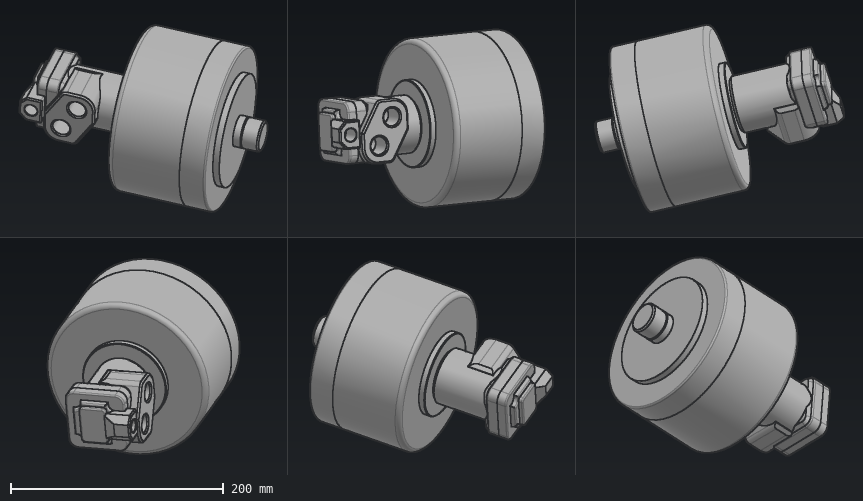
import cadquery as cq
import math


drum_diameter = 160.0
drum_radius = drum_diameter / 2
drum_length = 96.2
cover_joint_x = 71.2
drum_front_fillet = 5.0
drum_rear_fillet = 1.5
pilot_radius = 55.0
pilot_length = 6.5

rod_radius = 15.0
rod_length = 25.2
rod_groove_start = 7.3
rod_groove_width = 1.1
rod_groove_depth = 0.5
rod_end_chamfer = 1.5

collar_radius = 41.5
collar_length = 6.2
collar_chamfer = 0.7

distributor_tilt = -5.0
cap_joint_x = -77.6
block_half = 29.3
block_corner = 8.7
block_edge_fillet = 1.4

neck_radius = 27.5
neck_chamfer = 2.5
block_rear_x = -66.0
tail_length = 4.1
tail_inset = 2.5

port_face_y = -38.2
pad_center_x = -52.0
pad_half_width = 25.0
pad_half_height = 30.0
pad_big_radius = 15.0
pad_small_radius = 6.5
pad_slope_angle = 59.0
pad_back_y = 4.1
pad_back_chamfer_height = 2.3
pad_back_chamfer_length = 5.0
pad_edge_chamfer = 1.8
port_radius = 8.5
port_mouth_radius = 9.8
port_depth = 23.0
port_offset = 14.9
port_line_angle = 60.0

cap_face_x = -87.0
cross_face_x = -91.8
plate_face_x = -96.0
nose_face_x = -101.2
cross_half_width = 13.7
cross_half_depth = 21.5
cross_half_height = 21.8
cross_corner_fillet = 5.7
cross_edge_fillet = 1.5
cross_draft_inset = 1.1
plate_half_width = 13.3
plate_half_height = 18.0
plate_corner = 3.7
plate_edge_fillet = 1.4
nose_rear_x = -79.0
nose_half_width = 13.3
nose_half_flat = 6.5
nose_ramp_length = 10.8
nose_edge_chamfer = 1.4
nose_rear_fillet = 1.5
drain_x = -89.5
drain_radius = 6.2
drain_mouth_radius = 6.6
drain_depth = 20.5
drill_point_angle = 118.0


def disc(radius, start_x, end_x):
    """Solid cylinder on the X axis from start_x to end_x."""
    return cq.Workplane("YZ", origin=(start_x, 0, 0)).circle(radius).extrude(end_x - start_x)


def square_slab(start_x, end_x):
    """Slab with the rounded-square section shared by housing and end cap."""
    slab = cq.Workplane("YZ", origin=(start_x, 0, 0)).rect(2 * block_half, 2 * block_half)
    return slab.extrude(end_x - start_x).edges("|X").fillet(block_corner)


def drilled_port(x, z, radius, mouth_radius, depth):
    """Cutter for a blind hole drilled in +Y: chamfered mouth and conical bottom."""
    mouth_depth = mouth_radius - radius
    tip_depth = depth + radius / math.tan(math.radians(drill_point_angle / 2))
    half_section = (
        cq.Workplane("XY", origin=(x, port_face_y, z))
        .polyline([(0, 0), (mouth_radius, 0), (radius, mouth_depth), (radius, depth), (0, tip_depth)])
        .close()
    )
    return half_section.revolve(360, (0, 0, 0), (0, 1, 0))


def tilted(body):
    """Turn a distributor body about the machine axis."""
    return body.rotate((0, 0, 0), (1, 0, 0), distributor_tilt)


def make_drum():
    return disc(drum_radius, 0, cover_joint_x).faces("<X").edges().fillet(drum_front_fillet)


def make_rear_cover():
    cover = disc(drum_radius, cover_joint_x, drum_length).faces(">X").edges().fillet(drum_rear_fillet)
    return cover.union(disc(pilot_radius, drum_length, drum_length + pilot_length))


def make_piston_rod():
    start_x = drum_length + pilot_length
    rod = disc(rod_radius, start_x, start_x + rod_length).faces(">X").edges().chamfer(rod_end_chamfer)
    groove_x = start_x + rod_groove_start
    groove_end_x = groove_x + rod_groove_width
    groove = disc(rod_radius, groove_x, groove_end_x).cut(
        disc(rod_radius - rod_groove_depth, groove_x, groove_end_x)
    )
    return rod.cut(groove)


def make_collar():
    return disc(collar_radius, -collar_length, 0).faces("<X").edges().chamfer(collar_chamfer)


def make_housing_tail():
    """Tapered run-out from the square block down to the round neck."""
    taper = math.degrees(math.atan2(tail_inset, tail_length))
    tail = cq.Workplane("YZ", origin=(block_rear_x, 0, 0)).sketch()
    tail_half = block_half - block_edge_fillet
    tail = tail.rect(2 * tail_half, 2 * tail_half).vertices()
    tail = tail.fillet(block_corner - block_edge_fillet).finalize()
    return tail.extrude(tail_length, taper=taper)


def make_port_pad():
    """Port pad: a point-symmetric outline with two sloping flanks, bevelled at its back edge."""
    slope_run = pad_half_height / math.tan(math.radians(pad_slope_angle))
    flank_top_x = slope_run - pad_half_width
    outline = [
        (-pad_half_width, 0),
        (flank_top_x, pad_half_height),
        (pad_half_width, pad_half_height),
        (pad_half_width, 0),
        (-flank_top_x, -pad_half_height),
        (-pad_half_width, -pad_half_height),
    ]
    pad = (
        cq.Workplane("XZ", origin=(pad_center_x, pad_back_y, 0))
        .polyline(outline)
        .close()
        .extrude(pad_back_y - port_face_y)
    )
    pad_center = cq.Vector(pad_center_x, (port_face_y + pad_back_y) / 2, 0)
    for side in (1, -1):
        round_corner = pad_center + cq.Vector(side * pad_half_width, 0, side * pad_half_height)
        flank_corner = pad_center + cq.Vector(side * flank_top_x, 0, side * pad_half_height)
        pad = pad.edges(cq.NearestToPointSelector(round_corner.toTuple())).fillet(pad_big_radius)
        pad = pad.edges(cq.NearestToPointSelector(flank_corner.toTuple())).fillet(pad_small_radius)
    pad = pad.faces("<Y").edges().chamfer(pad_edge_chamfer)

    for side in (1, -1):
        wedge = (
            cq.Workplane("YZ", origin=(pad_center_x - pad_half_width, 0, 0))
            .moveTo(pad_back_y, side * pad_half_height)
            .lineTo(pad_back_y, side * (pad_half_height - pad_back_chamfer_height))
            .lineTo(pad_back_y - pad_back_chamfer_length, side * pad_half_height)
            .close()
            .extrude(2 * pad_half_width)
        )
        pad = pad.cut(wedge)
    return pad


def make_housing():
    neck = disc(neck_radius, cap_joint_x, -collar_length).faces(">X").edges().chamfer(neck_chamfer)
    block = square_slab(cap_joint_x, block_rear_x).faces(">X").edges().fillet(block_edge_fillet)
    housing = block.union(make_housing_tail()).union(neck).union(make_port_pad())
    angle = math.radians(port_line_angle)
    for side in (1, -1):
        port_x = pad_center_x + side * port_offset * math.cos(angle)
        port_z = side * port_offset * math.sin(angle)
        housing = housing.cut(drilled_port(port_x, port_z, port_radius, port_mouth_radius, port_depth))
    return tilted(housing)


def make_cap_cross():
    """Raised cross on the cap; its -Y arm runs out to the edge of the cap under the nose."""
    depth = cap_face_x - cross_face_x
    draft = math.degrees(math.atan2(cross_draft_inset, depth))
    nose_arm_y = -(block_half - block_edge_fillet)
    outline = [
        (nose_arm_y, nose_half_width),
        (-cross_half_width, nose_half_width),
        (-cross_half_width, cross_half_height),
        (cross_half_width, cross_half_height),
        (cross_half_width, cross_half_width),
        (cross_half_depth, cross_half_width),
    ]
    mirrored = [(y, -z) for y, z in reversed(outline)]
    prism = cq.Workplane("YZ").polyline(outline + mirrored).close().extrude(depth)
    reach = cross_half_width + cross_corner_fillet
    inner_corners = cq.selectors.BoxSelector((0, -reach, -reach), (depth, reach, reach))
    prism = prism.edges("|X").edges(inner_corners).fillet(cross_corner_fillet)
    base = prism.faces("<X").wires().val().translate(cq.Vector(cap_face_x, 0, 0))
    cross = cq.Workplane("YZ", origin=(cap_face_x, 0, 0)).add(base).toPending().extrude(-depth, taper=draft)
    return cross.faces("<X").edges().fillet(cross_edge_fillet)


def make_cap_plate():
    plate = cq.Workplane("YZ", origin=(plate_face_x, 0, 0)).rect(2 * plate_half_width, 2 * plate_half_height)
    plate = plate.extrude(cap_face_x - plate_face_x).edges("|X").fillet(plate_corner)
    return plate.faces("<X").edges().fillet(plate_edge_fillet)


def make_cap_nose():
    """Half-octagon drain nose running out in -Y, with a ramp up from the centre plate."""
    corner = nose_half_width - nose_half_flat
    nose = (
        cq.Workplane("XZ")
        .moveTo(nose_rear_x, -nose_half_width)
        .lineTo(nose_face_x + corner, -nose_half_width)
        .lineTo(nose_face_x, -nose_half_flat)
        .lineTo(nose_face_x, nose_half_flat)
        .lineTo(nose_face_x + corner, nose_half_width)
        .lineTo(nose_rear_x, nose_half_width)
        .close()
        .extrude(-port_face_y)
    )
    nose = nose.faces(">X").edges("|Y").fillet(nose_rear_fillet)
    nose = nose.faces("<Y").edges().chamfer(nose_edge_chamfer)
    ramp_foot_y = -plate_half_width + plate_edge_fillet
    ramp_cut = (
        cq.Workplane("XY", origin=(0, 0, -nose_half_width))
        .moveTo(nose_face_x, ramp_foot_y - nose_ramp_length)
        .lineTo(plate_face_x, ramp_foot_y)
        .lineTo(cap_face_x, ramp_foot_y)
        .lineTo(cap_face_x, 0)
        .lineTo(nose_face_x, 0)
        .close()
        .extrude(2 * nose_half_width)
    )
    return nose.cut(ramp_cut)


def make_end_cap():
    slab = square_slab(cap_face_x, cap_joint_x).faces("<X").edges().fillet(block_edge_fillet)
    cap = slab.union(make_cap_cross()).union(make_cap_plate()).union(make_cap_nose())
    cap = cap.cut(drilled_port(drain_x, 0, drain_radius, drain_mouth_radius, drain_depth))
    return tilted(cap)


drum = make_drum()
rear_cover = make_rear_cover()
piston_rod = make_piston_rod()
collar = make_collar()
housing = make_housing()
end_cap = make_end_cap()

result = cq.Compound.makeCompound([
    drum.val(),
    rear_cover.val(),
    piston_rod.val(),
    collar.val(),
    housing.val(),
    end_cap.val(),
])